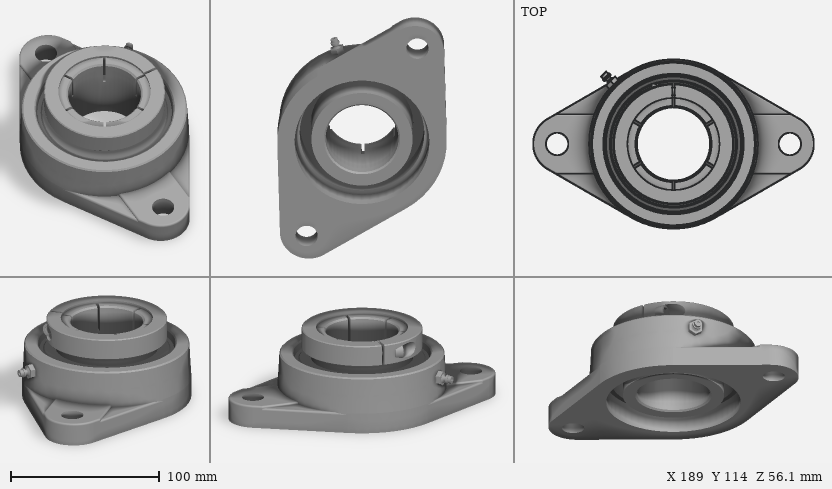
import cadquery as cq
import math

length = 189.0
width = 114.0
flank_angle = 60.0
wing_height = 14.0
pad_height = 15.5
pad_width = 40.0
flange_rounding = 1.3
bolt_hole_diameter = 15.0
bolt_hole_offset = 78.2

barrel_top = 38.7
barrel_top_diameter = 111.1
barrel_chamfer = 1.0
seat_diameter = 90.7
seat_mouth_diameter = 94.7
seat_mouth_chamfer = 1.0

outer_ring_bottom = 15.1
outer_ring_top = 33.8
outer_ring_bore = 84.0
seal_thickness = 2.3
seal_lip_diameter = 85.8
seal_lip_height = 1.0
seal_bore = 69.0
neck_diameter = 68.0
bore_diameter = 49.1
bore_chamfer = 1.1
inner_ring_bottom = 5.1
inner_ring_top = 54.5

collar_bottom = 41.5
collar_top = 56.1
collar_diameter = 81.3
collar_bore = 62.0
collar_chamfer = 0.66
slot_count = 6
slot_width = 1.9
slot_bottom = 36.5

screw_offset = 35.3
screw_head_diameter = 10.0
screw_head_start = -15.0
screw_head_length = 5.9
screw_socket_flats = 6.5
screw_socket_depth = 1.9
screw_shank_diameter = 5.0
screw_shank_end = 11.3

nipple_height = 28.0
nipple_direction = 135.0
nipple_stem_start = 50.0
nipple_stem_diameter = 6.5
nipple_hex_start = 56.5
nipple_hex_end = 60.0
nipple_hex_corners = 10.0
nipple_cone_end = 61.0
nipple_neck_diameter = 3.5
nipple_head_start = 62.7
nipple_collar_diameter = 6.0
nipple_collar_end = 64.0
nipple_tip_diameter = 5.0
nipple_tip = 66.5
nipple_hole_diameter = 1.9
nipple_hole_depth = 1.0

base_radius = width / 2
flank_cos = math.cos(math.radians(flank_angle))
flank_sin = math.sin(math.radians(flank_angle))
lug_center = (length / 2 - base_radius) / (1 - flank_cos)
lug_radius = length / 2 - lug_center


def disc(diameter, bottom, top):
    """Upright cylinder on the bearing axis."""
    return cq.Workplane("XY").workplane(offset=bottom).circle(diameter / 2).extrude(top - bottom)


def ring(outer, inner, bottom, top):
    """Upright tube on the bearing axis."""
    return disc(outer, bottom, top).cut(disc(inner, bottom, top))


def lug_plate(height):
    """Plate with both lugs and the flanks that meet the base circle, rounded along its top edge."""
    base_x = base_radius * flank_cos
    base_y = base_radius * flank_sin
    lug_x = lug_center + lug_radius * flank_cos
    lug_y = lug_radius * flank_sin
    return (
        cq.Workplane("XY")
        .moveTo(base_x, base_y)
        .lineTo(-base_x, base_y)
        .lineTo(-lug_x, lug_y)
        .threePointArc((-length / 2, 0), (-lug_x, -lug_y))
        .lineTo(-base_x, -base_y)
        .lineTo(base_x, -base_y)
        .lineTo(lug_x, -lug_y)
        .threePointArc((length / 2, 0), (lug_x, lug_y))
        .close()
        .extrude(height)
        .faces(">Z")
        .edges("not |X")
        .fillet(flange_rounding)
    )


def barrel():
    """Tapered round body standing on the flange."""
    top_radius = barrel_top_diameter / 2
    return (
        cq.Workplane("XZ")
        .polyline([
            (0, 0),
            (base_radius, 0),
            (base_radius, wing_height),
            (top_radius, barrel_top - barrel_chamfer),
            (top_radius - barrel_chamfer, barrel_top),
            (0, barrel_top),
        ])
        .close()
        .revolve(360, (0, 0, 0), (0, 1, 0))
    )


def seat_mouth():
    """Flared and chamfered opening above the outer ring."""
    mouth_radius = seat_mouth_diameter / 2
    return (
        cq.Workplane("XZ")
        .polyline([
            (0, outer_ring_top),
            (seat_diameter / 2, outer_ring_top),
            (mouth_radius - seat_mouth_chamfer, barrel_top - seat_mouth_chamfer),
            (mouth_radius, barrel_top),
            (0, barrel_top),
        ])
        .close()
        .revolve(360, (0, 0, 0), (0, 1, 0))
    )


def nipple_plane(distance):
    """Work plane square to the nipple axis, at a distance from the bearing axis."""
    angle = math.radians(nipple_direction)
    outward = (math.cos(angle), math.sin(angle), 0)
    origin = (distance * outward[0], distance * outward[1], nipple_height)
    return cq.Workplane(cq.Plane(origin=origin, xDir=(0, 0, 1), normal=outward))


def nipple_stem():
    """Round stem of the nipple, which also shapes its hole in the housing."""
    return (
        nipple_plane(nipple_stem_start)
        .circle(nipple_stem_diameter / 2)
        .extrude(nipple_hex_start - nipple_stem_start)
    )


def make_housing():
    """Two-bolt flange with the barrel that holds the bearing."""
    pad_strip = (
        cq.Workplane("XY")
        .box(length, pad_width, pad_height, centered=(True, True, False))
        .faces(">Z")
        .edges("|X")
        .fillet(flange_rounding)
    )
    pads = lug_plate(pad_height).intersect(pad_strip)
    bolt_holes = (
        cq.Workplane("XY")
        .pushPoints([(-bolt_hole_offset, 0), (bolt_hole_offset, 0)])
        .circle(bolt_hole_diameter / 2)
        .extrude(pad_height)
    )
    return (
        barrel()
        .union(lug_plate(wing_height))
        .union(pads)
        .cut(bolt_holes)
        .cut(disc(seat_diameter, 0, barrel_top))
        .cut(seat_mouth())
        .cut(nipple_stem())
    )


def make_outer_ring():
    """Outer bearing ring seated in the housing."""
    return ring(seat_diameter, outer_ring_bore, outer_ring_bottom, outer_ring_top)


def make_seal():
    """Shield closing the top of the gap between the rings, with a bevelled lip on the outer ring."""
    plate = disc(outer_ring_bore, outer_ring_top - seal_thickness, outer_ring_top)
    lip = (
        disc(seal_lip_diameter, outer_ring_top, outer_ring_top + seal_lip_height)
        .faces(">Z")
        .chamfer(seal_lip_height * 0.99)
    )
    opening = disc(seal_bore, outer_ring_bottom, barrel_top)
    return plate.union(lip).cut(opening)


def make_inner_ring():
    """Wide sleeve with a thinner, slotted end that the collar clamps on the shaft."""
    sleeve = (
        ring(neck_diameter, bore_diameter, inner_ring_bottom, collar_bottom)
        .union(ring(collar_bore, bore_diameter, collar_bottom, inner_ring_top))
        .edges(cq.selectors.RadiusNthSelector(0))
        .chamfer(bore_chamfer)
    )
    slot_blank = (
        cq.Workplane("XY")
        .box(neck_diameter, slot_width, inner_ring_top - slot_bottom, centered=(False, True, False))
        .translate((0, 0, slot_bottom))
        .intersect(disc(collar_bore, slot_bottom, inner_ring_top))
    )
    first_slot_angle = 360 / slot_count / 2
    for index in range(slot_count):
        slot_angle = first_slot_angle + index * 360 / slot_count
        sleeve = sleeve.cut(slot_blank.rotate((0, 0, 0), (0, 0, 1), slot_angle))
    return sleeve


def screw_blank(head_start):
    """Head and shank of the clamping screw, along X, with the head reaching back to head_start."""
    shoulder = screw_head_start + screw_head_length
    axis_height = (collar_bottom + collar_top) / 2
    side = cq.Workplane("YZ").center(screw_offset, axis_height)
    head = side.workplane(offset=head_start).circle(screw_head_diameter / 2).extrude(shoulder - head_start)
    shank = (
        side.workplane(offset=shoulder)
        .circle(screw_shank_diameter / 2)
        .extrude(screw_shank_end - shoulder)
    )
    return head.union(shank)


def make_collar():
    """Split clamping collar with the counterbored hole for its screw."""
    collar = disc(collar_diameter, collar_bottom, collar_top).edges().chamfer(collar_chamfer)
    slit = (
        cq.Workplane("XY")
        .box(slot_width, collar_diameter, collar_top - collar_bottom, centered=(True, False, False))
        .translate((0, 0, collar_bottom))
    )
    return (
        collar.cut(disc(collar_bore, collar_bottom, collar_top))
        .cut(slit)
        .cut(screw_blank(-collar_diameter / 2))
    )


def make_screw():
    """Socket-head screw that closes the collar."""
    socket = (
        cq.Workplane("YZ")
        .workplane(offset=screw_head_start)
        .center(screw_offset, (collar_bottom + collar_top) / 2)
        .polygon(6, screw_socket_flats / flank_sin)
        .extrude(screw_socket_depth)
    )
    return screw_blank(screw_head_start).cut(socket)


def make_nipple():
    """Grease nipple standing square on the side of the barrel."""
    hexagon = (
        nipple_plane(nipple_hex_start)
        .polygon(6, nipple_hex_corners)
        .extrude(nipple_hex_end - nipple_hex_start)
    )
    cone = (
        nipple_plane(nipple_hex_end)
        .circle(nipple_stem_diameter / 2)
        .workplane(offset=nipple_cone_end - nipple_hex_end)
        .circle(nipple_neck_diameter / 2)
        .loft(combine=True)
    )
    neck = (
        nipple_plane(nipple_cone_end)
        .circle(nipple_neck_diameter / 2)
        .extrude(nipple_head_start - nipple_cone_end)
    )
    head_rim = (
        nipple_plane(nipple_head_start)
        .circle(nipple_collar_diameter / 2)
        .extrude(nipple_collar_end - nipple_head_start)
    )
    tip = (
        nipple_plane(nipple_collar_end)
        .circle(nipple_tip_diameter / 2)
        .extrude(nipple_tip - nipple_collar_end)
    )
    grease_hole = (
        nipple_plane(nipple_tip - nipple_hole_depth)
        .circle(nipple_hole_diameter / 2)
        .extrude(nipple_hole_depth)
    )
    return nipple_stem().union(hexagon).union(cone).union(neck).union(head_rim).union(tip).cut(grease_hole)


housing = make_housing()
outer_ring = make_outer_ring()
seal = make_seal()
inner_ring = make_inner_ring()
collar = make_collar()
screw = make_screw()
nipple = make_nipple()

result = cq.Compound.makeCompound([
    housing.val(),
    outer_ring.val(),
    seal.val(),
    inner_ring.val(),
    collar.val(),
    screw.val(),
    nipple.val(),
])